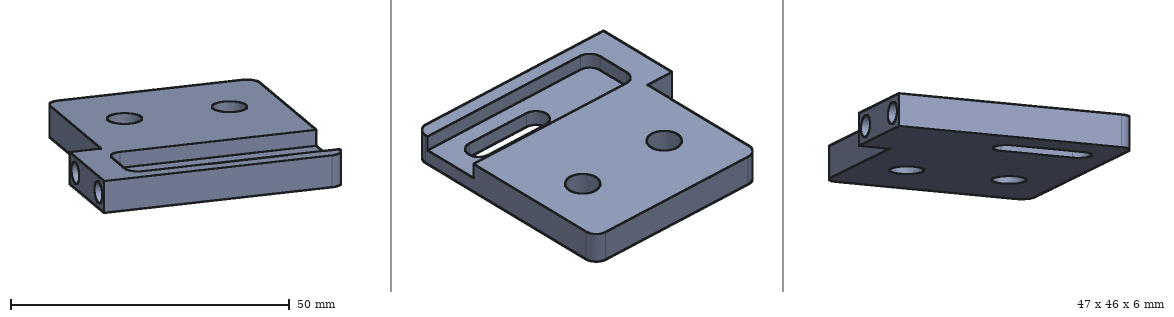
import cadquery as cq

plate_width = 47
plate_depth = 40.0
thickness = 6.0
corner_radius = 2.5

tab_width = 18.0
tab_length = 6.0

pocket_width = 12.0
pocket_depth = 3.0
right_wall = 3.0
pocket_center_x = plate_width - right_wall - pocket_width / 2

slot_width = 5.0
slot_length = 19.0
slot_center_y = 26.0

plate_hole_diameter = 6.3
plate_hole_x = 14.0
plate_hole_spacing = 20.0
plate_hole_middle_y = plate_depth / 2

end_hole_diameter = 4.0
end_hole_depth = 5.0


def make_body():
    plate = (
        cq.Workplane("XY")
        .rect(plate_width, plate_depth, centered=False)
        .extrude(thickness)
        .edges("|Z and (<X or >Y)")
        .fillet(corner_radius)
    )
    tab = (
        cq.Workplane("XY")
        .moveTo(plate_width - tab_width, -tab_length)
        .rect(tab_width, tab_length + plate_depth / 2, centered=False)
        .extrude(thickness)
    )
    return plate.union(tab, clean=True)


def make_pocket():
    return (
        cq.Workplane("XY", origin=(0, 0, thickness - pocket_depth))
        .moveTo(pocket_center_x - pocket_width / 2, 0)
        .rect(pocket_width, plate_depth, centered=False)
        .extrude(pocket_depth)
        .edges("|Z and <Y")
        .fillet(corner_radius)
    )


def make_slot():
    return (
        cq.Workplane("XY")
        .center(pocket_center_x, slot_center_y)
        .slot2D(slot_length, slot_width, 90)
        .extrude(thickness)
    )


def make_plate_holes():
    return (
        cq.Workplane("XY")
        .center(plate_hole_x, plate_hole_middle_y)
        .rarray(0.45, plate_hole_spacing, 1, 2)
        .circle(plate_hole_diameter / 2)
        .extrude(thickness)
    )


def make_end_holes():
    return (
        cq.Workplane("XZ", origin=(pocket_center_x, -tab_length, thickness / 2))
        .rarray(pocket_width, 0.45, 2, 1)
        .circle(end_hole_diameter / 2)
        .extrude(-end_hole_depth)
    )


result = (
    make_body()
    .cut(make_pocket())
    .cut(make_slot())
    .cut(make_plate_holes())
    .cut(make_end_holes())
)